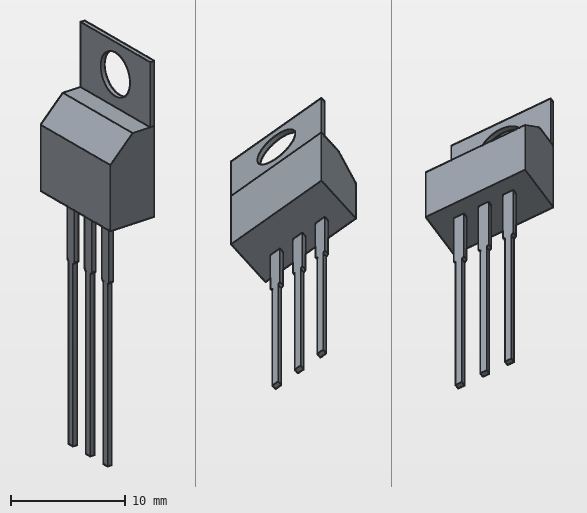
import cadquery as cq

TOTAL_HEIGHT = 39.37
PACKAGE_WIDTH = 10.15
PACKAGE_DEPTH = 4.85

TAB_HEIGHT = 6.35
TAB_THICKNESS = 0.47
HOLE_DIAMETER = 4.25
HOLE_BELOW_TOP = 3.15

HOUSING_HEIGHT = 8.85
BEVEL_DEPTH = 2.45
BEVEL_HEIGHT = 2.4
HOUSING_TOP = TOTAL_HEIGHT - TAB_HEIGHT
HOUSING_BOTTOM = HOUSING_TOP - HOUSING_HEIGHT

LEAD_COUNT = 3
LEAD_PITCH = 2.5
LEAD_THICKNESS = 0.47
LEAD_BACK_OFFSET = 3.0
SHOULDER_WIDTH = 1.05
LEG_WIDTH = 0.65
SHOULDER_LENGTH = 6.2
TAPER_HEIGHT = 0.25


def make_housing():
    """Block with a bevel along its upper front edge, as a side profile extruded across X."""
    return (
        cq.Workplane("YZ")
        .workplane(offset=-PACKAGE_WIDTH / 2)
        .moveTo(0, HOUSING_BOTTOM)
        .lineTo(0, HOUSING_TOP)
        .lineTo(-PACKAGE_DEPTH + BEVEL_DEPTH, HOUSING_TOP)
        .lineTo(-PACKAGE_DEPTH, HOUSING_TOP - BEVEL_HEIGHT)
        .lineTo(-PACKAGE_DEPTH, HOUSING_BOTTOM)
        .close()
        .extrude(PACKAGE_WIDTH)
    )


def make_tab():
    """Flat plate on top of the housing with a round mounting hole."""
    plate = (
        cq.Workplane("XZ")
        .center(0, HOUSING_TOP + TAB_HEIGHT / 2)
        .rect(PACKAGE_WIDTH, TAB_HEIGHT)
        .extrude(TAB_THICKNESS)
    )
    hole = (
        cq.Workplane("XZ")
        .center(0, TOTAL_HEIGHT - HOLE_BELOW_TOP)
        .circle(HOLE_DIAMETER / 2)
        .extrude(TAB_THICKNESS)
    )
    return plate.cut(hole)


def make_lead(center_x):
    """Flat lead hanging from the housing bottom, centred on center_x."""
    shoulder_bottom = HOUSING_BOTTOM - SHOULDER_LENGTH
    leg_top = shoulder_bottom - TAPER_HEIGHT
    return (
        cq.Workplane("XZ", origin=(center_x, -LEAD_BACK_OFFSET, 0))
        .moveTo(-SHOULDER_WIDTH / 2, HOUSING_BOTTOM)
        .lineTo(SHOULDER_WIDTH / 2, HOUSING_BOTTOM)
        .lineTo(SHOULDER_WIDTH / 2, shoulder_bottom)
        .lineTo(LEG_WIDTH / 2, leg_top)
        .lineTo(LEG_WIDTH / 2, 0)
        .lineTo(-LEG_WIDTH / 2, 0)
        .lineTo(-LEG_WIDTH / 2, leg_top)
        .lineTo(-SHOULDER_WIDTH / 2, shoulder_bottom)
        .close()
        .extrude(LEAD_THICKNESS)
    )


housing = make_housing()
tab = make_tab()
leads = []
for index in range(LEAD_COUNT):
    lead_x = (index - (LEAD_COUNT - 1) / 2) * LEAD_PITCH
    leads.append(make_lead(lead_x))

result = cq.Compound.makeCompound([housing.val(), tab.val(), *[lead.val() for lead in leads]])